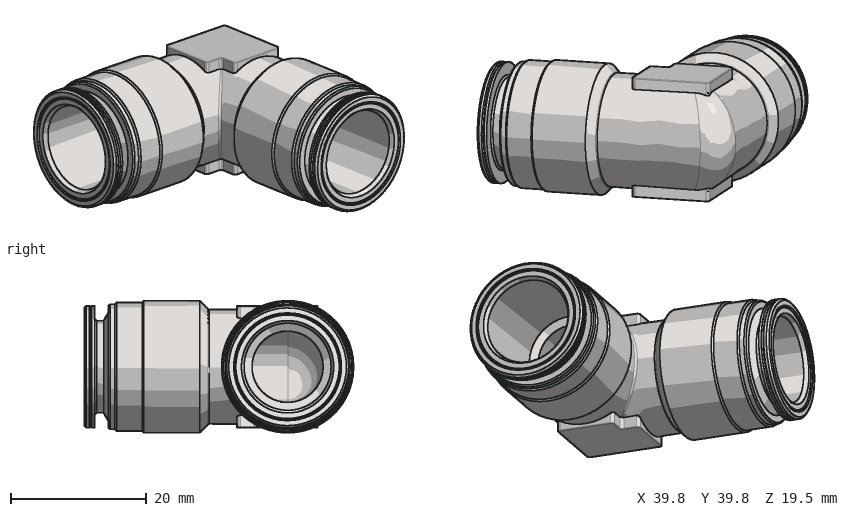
import cadquery as cq
import math

overall = 39.75
sleeve_dia = 19.5
port_reach = overall - sleeve_dia / 2

corner_radius = 8.55
draft_slope = math.tan(math.radians(0.5))
outer_corner_round = 4.1
inner_corner_round = 0.3
round_top = 7.4

sleeve_start = 12.95
sleeve_end = 21.2
collar_end = 25.2
rim_end = 26.45
collet_start = 27.15
collet_end = 28.2
flange_start = 28.45
groove_start = 28.85
groove_end = 29.25

collar_dia = 19.0
rim_dia = 18.5
rim_chamfer = 0.25
flare_dia = 15.98
collet_dia = 13.65
flange_dia = 18.0
flange_chamfer = 0.3
groove_dia = 17.5
shoulder_round = 0.48

ring_outer_dia = 15.9
ring_bottom_dia = 15.65
ring_inner_dia = 15.25
ring_depth = 0.28
collet_sink = 0.1
mouth_dia = 13.65
mouth_length = 0.68
socket_dia = 12.85
socket_floor = 12.72
socket_floor_length = 0.6
bore_dia = 10.5

pad_near = 4.45
pad_far = 7.47
pad_notch = 4.55
pad_height = 17.95
pad_corner_round = 0.48
pad_edge_round = 0.1


def arm_radius(station):
    """Radius of a drafted arm at a station along its axis."""
    return corner_radius - station * draft_slope


def turned(points):
    """Solid turned about the X axis from (station, radius) points."""
    return cq.Workplane("XY").polyline(points).close().revolve(360, (0, 0, 0), (1, 0, 0))


def to_y_port(shape):
    """Swing a shape from the +X port to the -Y port."""
    return shape.rotate((0, 0, 0), (0, 0, 1), -90)


def elbow_body():
    """Two drafted arms mitred together, with the outer and inner corners rounded."""
    arm_start = -2 * corner_radius
    arm = turned([
        (arm_start, 0),
        (arm_start, arm_radius(arm_start)),
        (sleeve_start, arm_radius(sleeve_start)),
        (sleeve_start, 0),
    ])
    span = 4 * sleeve_start
    miter_side = (
        cq.Workplane("XY")
        .polyline([(-span, span), (span, span), (span, -span)])
        .close()
        .extrude(span, both=True)
    )
    arm = arm.intersect(miter_side)
    body = arm.union(to_y_port(arm.mirror("XZ")))

    layer = cq.Workplane("XY").box(span, span, 2 * round_top)
    caps = body.cut(layer)
    outer_corner = cq.NearestToPointSelector((-corner_radius, corner_radius, 0))
    inner_corner = cq.NearestToPointSelector((corner_radius, -corner_radius, 0))
    middle = body.intersect(layer)
    middle = middle.edges(outer_corner).fillet(outer_corner_round)
    middle = middle.edges(inner_corner).fillet(inner_corner_round)
    return middle.union(caps)


def port_shell():
    """Sleeve, collar, rim, collet and flange of the +X port, without its bore."""
    neck_radius = arm_radius(sleeve_start)
    sleeve_radius = sleeve_dia / 2
    collar_radius = collar_dia / 2
    rim_radius = rim_dia / 2
    collet_radius = collet_dia / 2
    flange_radius = flange_dia / 2

    cone_start = sleeve_start - (sleeve_radius - neck_radius)
    blend_start = cone_start - shoulder_round * math.tan(math.pi / 8)

    def blend_point(angle):
        return (
            blend_start + shoulder_round * math.sin(angle),
            neck_radius + shoulder_round * (1 - math.cos(angle)),
        )

    return (
        cq.Workplane("XY")
        .moveTo(blend_start, 0)
        .lineTo(blend_start, neck_radius)
        .threePointArc(blend_point(math.pi / 8), blend_point(math.pi / 4))
        .lineTo(sleeve_start, sleeve_radius)
        .lineTo(sleeve_end, sleeve_radius)
        .lineTo(sleeve_end + sleeve_radius - collar_radius, collar_radius)
        .lineTo(collar_end, collar_radius)
        .lineTo(collar_end + collar_radius - rim_radius, rim_radius)
        .lineTo(rim_end - rim_chamfer, rim_radius)
        .lineTo(rim_end, rim_radius - rim_chamfer)
        .lineTo(rim_end, flare_dia / 2)
        .lineTo(collet_start, collet_radius)
        .lineTo(collet_end, collet_radius)
        .lineTo(flange_start, collet_radius + flange_start - collet_end)
        .lineTo(flange_start, flange_radius)
        .lineTo(groove_start, flange_radius)
        .lineTo((groove_start + groove_end) / 2, groove_dia / 2)
        .lineTo(groove_end, flange_radius)
        .lineTo(port_reach - flange_chamfer, flange_radius)
        .lineTo(port_reach, flange_radius - flange_chamfer)
        .lineTo(port_reach, 0)
        .close()
        .revolve(360, (0, 0, 0), (1, 0, 0))
    )


def port_bore():
    """Through bore, tube socket, sunk collet face and ring groove of the +X port."""
    collet_face = port_reach - collet_sink
    return turned([
        (0, 0),
        (0, bore_dia / 2),
        (socket_floor, bore_dia / 2),
        (socket_floor + socket_floor_length, socket_dia / 2),
        (collet_face - mouth_length, socket_dia / 2),
        (collet_face, mouth_dia / 2),
        (collet_face, ring_inner_dia / 2),
        (port_reach - ring_depth, ring_bottom_dia / 2),
        (port_reach, ring_outer_dia / 2),
        (port_reach, 0),
    ])


def pads():
    """L-shaped flat pads, the same above and below the corner."""
    outline = [
        (-pad_near, pad_near),
        (pad_far, pad_near),
        (pad_far, -pad_notch),
        (pad_notch, -pad_notch),
        (pad_notch, -pad_far),
        (-pad_near, -pad_far),
    ]
    pad = cq.Workplane("XY").polyline(outline).close().extrude(pad_height / 2)
    pad = pad.edges("|Z").fillet(pad_corner_round)
    pad = pad.faces(">Z").edges().fillet(pad_edge_round)
    return pad.union(pad.mirror("XY"))


shell = port_shell()
bore = port_bore()
bore_elbow = cq.Workplane("XY").sphere(bore_dia / 2)

result = (
    elbow_body()
    .union(pads())
    .union(shell)
    .union(to_y_port(shell))
    .cut(bore)
    .cut(to_y_port(bore))
    .cut(bore_elbow)
)